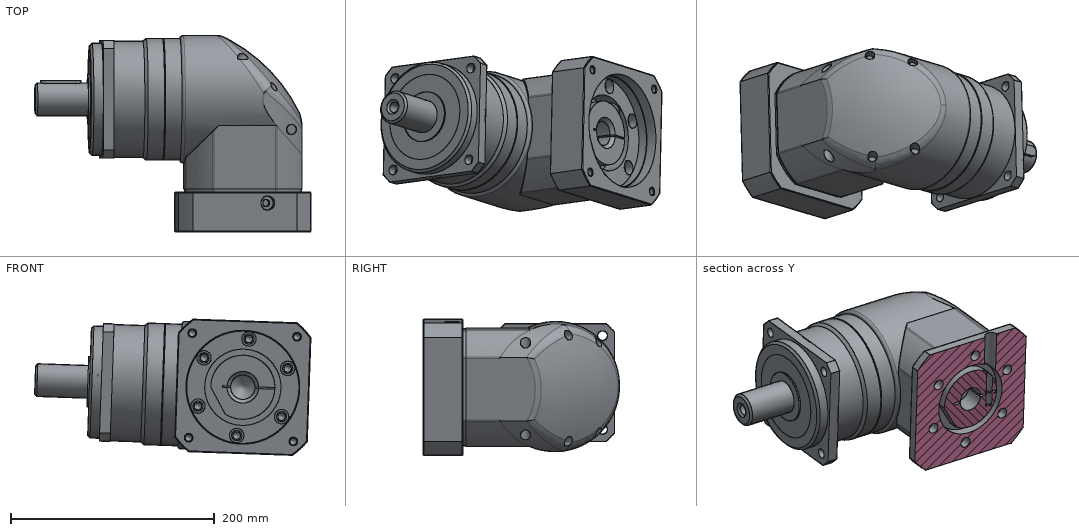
import cadquery as cq
import math

TILT = 2.0

SHAFT_END_X = -204.0
SHAFT_DIA = 32.3
SHAFT_CHAMFER = 2.2
SHOULDER_DIA = 49.6
SHOULDER_FACE_X = -152.2
CENTRE_HOLE_DIA = 10.3
CENTRE_SINK_DIA = 14.6
CENTRE_HOLE_DEPTH = 21.7
KEY_LENGTH = 40.0
KEY_WIDTH = 10.0
KEY_HEIGHT = 8.1
KEY_TOP_Y = 18.7
KEY_END_GAP = 5.2
KEY_START_X = SHAFT_END_X + KEY_END_GAP

PILOT_FACE_X = -150.5
PILOT_DIA = 110.1
PILOT_CHAMFER = 2.5
FLANGE_FACE_X = -139.0
FLANGE_BACK_X = -128.3
FLANGE_SIDE = 115.5
FLANGE_CORNER = 8.1
FLANGE_HOLE_DIA = 9.5
FLANGE_HOLE_PITCH = 92.0
BARREL_DIA = 114.5
STEP_START_X = -98.2
STEP_END_X = -95.0
RING_DIA = 119.6
SEAM_X = -78.5
SEAM_CHAMFER = 0.5
COVER_DIA = 85.0
COVER_THICKNESS = 8.1

ELBOW_START_X = -61.9
ELBOW_DIA = 125.3
ELBOW_LIP = 3.3
NECK_DIA = 130.2
NECK_SIDE = 114.5
NECK_EDGE_RADIUS = 3.0
NECK_END_Y = -91.0
NECK_END_LENGTH = 2.7
NECK_END_INSET = 0.8
DOME_RADIUS = 160.0
DOME_APEX = 38.8
DOME_OFFSET = 4.0
BACK_EDGE_RADIUS = 13.5
DOME_HOLE_DIA = 9.2
DOME_HOLE_DEPTH = 13.5
DOME_HOLE_CENTRES = [(-11.5, 52.0), (30.5, 44.5)]
SIDE_HOLE_DIA = 9.8
SIDE_HOLE_X = 46.5
SIDE_HOLE_Y = -29.5
SIDE_HOLE_BOTTOM_Z = 32.5

ADAPTER_FACE_Y = -130.2
ADAPTER_SIDE = 130.2
ADAPTER_CORNER_DIA = 165.5
ADAPTER_CHAMFER = 0.8
SPIGOT_DIA = 111.8
SPIGOT_DEPTH = 10.9
POCKET_DIA = 110.1
POCKET_DEPTH = 20.0
ADAPTER_BORE_DIA = 75.0
MOTOR_HOLE_PITCH = 102.8
MOTOR_HOLE_DIA = 6.8
MOTOR_SINK_DIA = 8.5
MOTOR_HOLE_DEPTH = 19.0
BOLT_COUNT = 6
BOLT_FIRST_ANGLE = 24.8
BOLT_CIRCLE_RADIUS = 47.7
BOLT_HEAD_DIA = 14.0
BOLT_HEAD_DEPTH = 9.2
BOLT_HOLE_DIA = 10.0
BOLT_TAP_DIA = 7.3
BOLT_TAP_DEPTH = 13.5
ACCESS_HOLE_DIA = 13.5

HUB_DIA = 63.0
HUB_LENGTH = 40.7
HUB_BORE_DIA = 24.0
HUB_BORE_SINK_DIA = 31.0
HUB_BORE_DEPTH = 29.8
HUB_FLAT_ANGLE = 210.0
HUB_FLAT_DISTANCE = 27.7
SLIT_WIDTH = 1.5
SLIT_START_X = -19.8
CLAMP_SCREW_X = 22.2
CLAMP_SCREW_Y = -101.7
CLAMP_SCREW_DIA = 7.0
CLAMP_SCREW_BOTTOM_Z = -13.5

DRILL_HALF_ANGLE = 59.0
HUB_FACE_Y = ADAPTER_FACE_Y + POCKET_DEPTH
COVER_BACK_X = PILOT_FACE_X + COVER_THICKNESS

DIAGONAL = 1 / math.sqrt(2)
BACK_NORMAL = (DIAGONAL, DIAGONAL, 0)
BACK_ACROSS = (-DIAGONAL, DIAGONAL, 0)


def x_cylinder(dia, start, end):
    """Cylinder on the output axis between two X positions."""
    return cq.Workplane("YZ", origin=(start, 0, 0)).circle(dia / 2).extrude(end - start)


def y_cylinder(dia, start, end, x=0.0, z=0.0):
    """Cylinder parallel to the input axis between two Y positions (start below end)."""
    return cq.Workplane("XZ", origin=(x, end, z)).circle(dia / 2).extrude(end - start)


def drill(mouth, direction, dia, depth, sink_dia=0.0):
    """Blind hole with a drill-point bottom and an optional 45-degree countersink."""
    radius = dia / 2
    tip = depth + radius / math.tan(math.radians(DRILL_HALF_ANGLE))
    outline = [(0, 0), (radius, 0), (radius, depth), (0, tip)]
    if sink_dia > dia:
        sink_radius = sink_dia / 2
        outline[1:2] = [(sink_radius, 0), (radius, sink_radius - radius)]
    side = cq.Vector(0, 0, 1)
    along = cq.Vector(*direction)
    plane = cq.Plane(origin=mouth, xDir=side, normal=side.cross(along))
    return cq.Workplane(plane).polyline(outline).close().revolve(360, (0, 0), (0, 1))


def square_points(pitch):
    """The four corners of a centred square."""
    return [(i * pitch / 2, j * pitch / 2) for i in (-1, 1) for j in (-1, 1)]


def bolt_points():
    """X and Z of the bolts that hold the adapter to the elbow."""
    angles = [math.radians(BOLT_FIRST_ANGLE + i * 360 / BOLT_COUNT) for i in range(BOLT_COUNT)]
    return [(BOLT_CIRCLE_RADIUS * math.cos(a), BOLT_CIRCLE_RADIUS * math.sin(a)) for a in angles]


def make_key():
    """Parallel key with round ends, standing proud of the shaft on +Y."""
    middle = KEY_START_X + KEY_LENGTH / 2
    sketch = cq.Workplane("XZ", origin=(middle, KEY_TOP_Y, 0)).slot2D(KEY_LENGTH, KEY_WIDTH)
    return sketch.extrude(KEY_HEIGHT)


def make_shaft(key):
    """Output shaft with its shoulder, keyway and threaded centre hole."""
    shaft = x_cylinder(SHAFT_DIA, SHAFT_END_X, SHOULDER_FACE_X).faces("<X").chamfer(SHAFT_CHAMFER)
    shaft = shaft.union(x_cylinder(SHOULDER_DIA, SHOULDER_FACE_X, COVER_BACK_X))
    hole = drill((SHAFT_END_X, 0, 0), (1, 0, 0), CENTRE_HOLE_DIA, CENTRE_HOLE_DEPTH, CENTRE_SINK_DIA)
    return shaft.cut(hole).cut(key)


def make_cover():
    """Bearing cover around the shaft shoulder, flush with the pilot face."""
    disc = x_cylinder(COVER_DIA, PILOT_FACE_X, COVER_BACK_X)
    return disc.cut(x_cylinder(SHOULDER_DIA, PILOT_FACE_X, COVER_BACK_X))


def make_output_housing():
    """Pilot, square flange and stepped barrel, recessed for the cover and shaft."""
    pilot_radius = PILOT_DIA / 2
    barrel_radius = BARREL_DIA / 2
    ring_radius = RING_DIA / 2
    outline = [
        (PILOT_FACE_X, 0),
        (PILOT_FACE_X, pilot_radius - PILOT_CHAMFER),
        (PILOT_FACE_X + PILOT_CHAMFER, pilot_radius),
        (FLANGE_FACE_X, pilot_radius),
        (FLANGE_FACE_X, barrel_radius),
        (STEP_START_X, barrel_radius),
        (STEP_END_X, ring_radius),
        (SEAM_X - SEAM_CHAMFER, ring_radius),
        (SEAM_X, ring_radius - SEAM_CHAMFER),
        (SEAM_X, 0),
    ]
    barrel = cq.Workplane("XY").polyline(outline).close().revolve(360, (0, 0), (1, 0))
    thickness = FLANGE_BACK_X - FLANGE_FACE_X
    flange = cq.Workplane("YZ", origin=(FLANGE_FACE_X, 0, 0)).rect(FLANGE_SIDE, FLANGE_SIDE)
    flange = flange.extrude(thickness).edges("|X").chamfer(FLANGE_CORNER)
    holes = cq.Workplane("YZ", origin=(FLANGE_FACE_X, 0, 0)).pushPoints(square_points(FLANGE_HOLE_PITCH))
    holes = holes.circle(FLANGE_HOLE_DIA / 2).extrude(thickness)
    recess = x_cylinder(COVER_DIA, PILOT_FACE_X, COVER_BACK_X)
    return barrel.union(flange.cut(holes)).cut(recess)


def make_gear_ring():
    """Plain ring section between the output housing and the elbow."""
    return x_cylinder(RING_DIA, SEAM_X, ELBOW_START_X).faces("<X").chamfer(SEAM_CHAMFER)


def neck_section(inset, start, end):
    """Round bar with four flats, on the input axis."""
    side = NECK_SIDE - 2 * inset
    bar = cq.Workplane("XZ", origin=(0, end, 0)).rect(side, side).extrude(end - start)
    bar = bar.intersect(y_cylinder(NECK_DIA - 2 * inset, start, end))
    return bar.edges("|Y").fillet(NECK_EDGE_RADIUS)


def back_dome():
    """Large sphere whose surface closes the elbow's back corner."""
    centre = cq.Vector(*BACK_NORMAL) * (DOME_APEX - DOME_RADIUS) + cq.Vector(*BACK_ACROSS) * DOME_OFFSET
    return cq.Workplane("XY").sphere(DOME_RADIUS).translate(centre)


def back_holes():
    """Blind holes square to the back corner, mirrored about Z = 0."""
    points = [(p, side * z) for p, z in DOME_HOLE_CENTRES for side in (-1, 1)]
    plane = cq.Plane(origin=(0, 0, 0), xDir=BACK_ACROSS, normal=BACK_NORMAL)
    sketch = cq.Workplane(plane).workplane(offset=DOME_HOLE_DEPTH).pushPoints(points)
    return sketch.circle(DOME_HOLE_DIA / 2).extrude(DOME_APEX)


def side_holes():
    """Blind holes along Z in the rounded sides of the neck."""
    sketch = cq.Workplane("XY", origin=(SIDE_HOLE_X, SIDE_HOLE_Y, SIDE_HOLE_BOTTOM_Z))
    hole = sketch.circle(SIDE_HOLE_DIA / 2).extrude(NECK_DIA / 2)
    return hole.union(hole.mirror("XY"))


def make_elbow(hub_blank):
    """Elbow casting: round output leg running into a flat-sided input neck."""
    leg = x_cylinder(ELBOW_DIA, ELBOW_START_X, NECK_DIA / 2).faces("<X").edges().fillet(ELBOW_LIP)
    neck = neck_section(0, NECK_END_Y + NECK_END_LENGTH, ELBOW_DIA / 2)
    far = NECK_DIA
    neck_side = cq.Workplane("XY").polyline([(-far, -far), (far, far), (far, -far)]).close()
    neck = neck.intersect(neck_side.extrude(far, both=True))
    bound = cq.Workplane("XY").box(far, 2 * far, far).translate((NECK_SIDE / 2 - far / 2, 0, 0))
    bound = bound.intersect(y_cylinder(NECK_DIA, -far, far))
    bound = bound.union(cq.Workplane("XY").box(far, 2 * far, 2 * far).translate((-far / 2, 0, 0)))
    elbow = leg.intersect(bound).union(neck)
    elbow = elbow.intersect(back_dome())
    elbow = elbow.faces("%SPHERE").edges().fillet(BACK_EDGE_RADIUS)
    elbow = elbow.union(neck_section(NECK_END_INSET, NECK_END_Y, NECK_END_Y + NECK_END_LENGTH))
    for x, z in bolt_points():
        elbow = elbow.cut(drill((x, NECK_END_Y, z), (0, 1, 0), BOLT_TAP_DIA, BOLT_TAP_DEPTH))
    elbow = elbow.cut(back_holes()).cut(side_holes())
    return elbow.cut(hub_blank)


def make_adapter():
    """Square motor plate with rounded corners, spigot pocket and bolt holes."""
    depth = NECK_END_Y - ADAPTER_FACE_Y
    plate = cq.Workplane("XZ", origin=(0, NECK_END_Y, 0)).rect(ADAPTER_SIDE, ADAPTER_SIDE).extrude(depth)
    plate = plate.intersect(y_cylinder(ADAPTER_CORNER_DIA, ADAPTER_FACE_Y, NECK_END_Y))
    plate = plate.faces("<Y or >Y").edges().chamfer(ADAPTER_CHAMFER)
    plate = plate.cut(y_cylinder(SPIGOT_DIA, ADAPTER_FACE_Y, ADAPTER_FACE_Y + SPIGOT_DEPTH))
    plate = plate.cut(y_cylinder(POCKET_DIA, ADAPTER_FACE_Y, HUB_FACE_Y))
    plate = plate.cut(y_cylinder(ADAPTER_BORE_DIA, HUB_FACE_Y, NECK_END_Y))
    for x, z in square_points(MOTOR_HOLE_PITCH):
        mouth = (x, ADAPTER_FACE_Y, z)
        plate = plate.cut(drill(mouth, (0, 1, 0), MOTOR_HOLE_DIA, MOTOR_HOLE_DEPTH, MOTOR_SINK_DIA))
    for x, z in bolt_points():
        plate = plate.cut(y_cylinder(BOLT_HOLE_DIA, HUB_FACE_Y, NECK_END_Y, x, z))
        plate = plate.cut(y_cylinder(BOLT_HEAD_DIA, HUB_FACE_Y, HUB_FACE_Y + BOLT_HEAD_DEPTH, x, z))
    access = cq.Workplane("XY", origin=(CLAMP_SCREW_X, CLAMP_SCREW_Y, 0))
    return plate.cut(access.circle(ACCESS_HOLE_DIA / 2).extrude(ADAPTER_SIDE / 2))


def make_hub_blank():
    """Clamp hub outline: a cylinder with one flat for balance."""
    blank = y_cylinder(HUB_DIA, HUB_FACE_Y, HUB_FACE_Y + HUB_LENGTH)
    offcut = cq.Workplane("XY").box(HUB_DIA, 2 * HUB_LENGTH, HUB_DIA)
    offcut = offcut.translate((HUB_FLAT_DISTANCE + HUB_DIA / 2, HUB_FACE_Y + HUB_LENGTH / 2, 0))
    return blank.cut(offcut.rotate((0, 0, 0), (0, 1, 0), -HUB_FLAT_ANGLE))


def make_hub(blank):
    """Split clamp hub for the motor shaft, with its clamp screw hole."""
    bore = drill((0, HUB_FACE_Y, 0), (0, 1, 0), HUB_BORE_DIA, HUB_BORE_DEPTH, HUB_BORE_SINK_DIA)
    slit_length = HUB_DIA / 2 - SLIT_START_X
    slit = cq.Workplane("XY").box(slit_length, HUB_BORE_DEPTH, SLIT_WIDTH, centered=(False, False, True))
    slit = slit.translate((SLIT_START_X, HUB_FACE_Y, 0))
    screw = cq.Workplane("XY", origin=(CLAMP_SCREW_X, CLAMP_SCREW_Y, CLAMP_SCREW_BOTTOM_Z))
    screw = screw.circle(CLAMP_SCREW_DIA / 2).extrude(HUB_DIA)
    return blank.cut(bore).cut(slit).cut(screw)


key = make_key()
shaft = make_shaft(key)
cover = make_cover()
output_housing = make_output_housing()
gear_ring = make_gear_ring()
hub_blank = make_hub_blank()
elbow = make_elbow(hub_blank)
adapter = make_adapter()
hub = make_hub(hub_blank)

bodies = [key, shaft, cover, output_housing, gear_ring, elbow, adapter, hub]
tilted = [body.rotate((0, 0, 0), (0, 1, 0), TILT).val() for body in bodies]
result = cq.Compound.makeCompound(tilted)